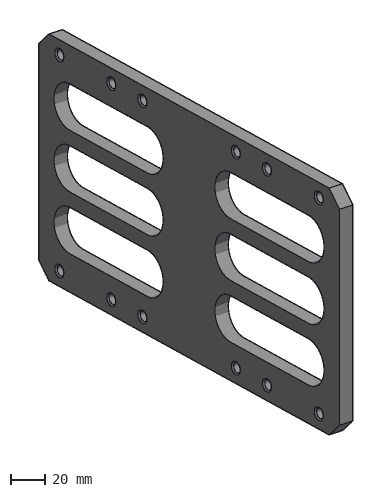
import cadquery as cq

PLATE_LENGTH = 290.0
PLATE_THICKNESS = 10.0
PLATE_HEIGHT = 160.0
CORNER_CHAMFER = 10.0

SLOT_LENGTH = 105.0
SLOT_HEIGHT = 30.0
SLOT_SIDE_MARGIN = 15.0
SLOT_PITCH = 40.0
SLOT_CENTER_X = PLATE_LENGTH / 2 - SLOT_SIDE_MARGIN - SLOT_LENGTH / 2

HOLE_DIAMETER = 6.5
HOLE_MOUTH_CHAMFER = 1.0
HOLE_EDGE_MARGIN = 10.0
HOLE_OFFSETS_X = (45.0, 75.0, 125.0)
HOLE_ROW_Z = PLATE_HEIGHT / 2 - HOLE_EDGE_MARGIN

SIDES = (-1, 1)


def front_plane():
    """Workplane on the front (-Y) face; local x, y are global X, Z and it points out along -Y."""
    return cq.Workplane("XZ", origin=(0, -PLATE_THICKNESS / 2, 0))


def make_plate():
    plate = cq.Workplane("XY").box(PLATE_LENGTH, PLATE_THICKNESS, PLATE_HEIGHT)
    return plate.edges("|Y").chamfer(CORNER_CHAMFER)


def make_slots():
    centers = [(side * SLOT_CENTER_X, row * SLOT_PITCH) for side in SIDES for row in (-1, 0, 1)]
    return front_plane().pushPoints(centers).slot2D(SLOT_LENGTH, SLOT_HEIGHT).extrude(-PLATE_THICKNESS)


def make_screw_hole():
    """Cutter for one through hole at X = Z = 0, with a chamfered mouth on the front face."""
    radius = HOLE_DIAMETER / 2
    bore = front_plane().circle(radius).extrude(-PLATE_THICKNESS)
    mouth = cq.Solid.makeCone(
        radius + HOLE_MOUTH_CHAMFER,
        radius,
        HOLE_MOUTH_CHAMFER,
        pnt=cq.Vector(0, -PLATE_THICKNESS / 2, 0),
        dir=cq.Vector(0, 1, 0),
    )
    return bore.union(cq.Workplane(mouth))


def cut_screw_holes(plate):
    cutter = make_screw_hole()
    for row_side in SIDES:
        for side in SIDES:
            for offset in HOLE_OFFSETS_X:
                plate = plate.cut(cutter.translate((side * offset, 0, row_side * HOLE_ROW_Z)))
    return plate


result = cut_screw_holes(make_plate().cut(make_slots()))